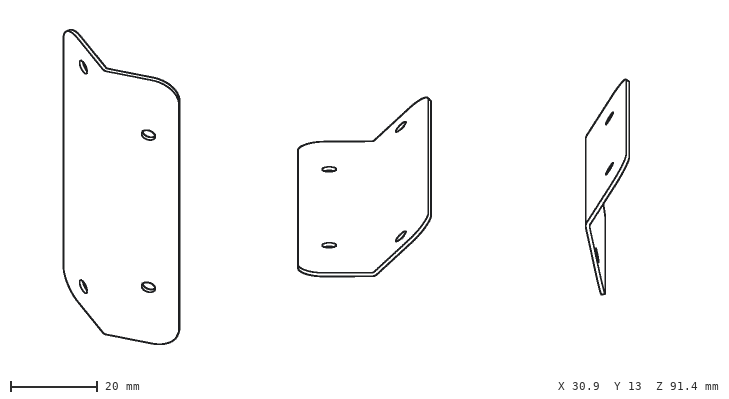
import cadquery as cq
import math

overall_width = 30.94
overall_depth = 13.01
height = 91.44

thickness = 0.914
outer_bend_radius = 1.65
inner_bend_radius = outer_bend_radius - thickness
bend_angle = 44.0
bend_cos = math.cos(math.radians(bend_angle))
bend_sin = math.sin(math.radians(bend_angle))

flange_length = (overall_depth - outer_bend_radius * (1 - bend_cos) - thickness * bend_cos) / bend_sin
base_length = overall_width - outer_bend_radius * bend_sin - flange_length * bend_cos

corner_radius = 6.35
hole_diameter = 3.25
base_hole_edge_distance = 8.89
base_hole_spacing = 76.2
flange_hole_edge_distance = 7.22
flange_hole_spacing = 52.83

base_plane = cq.Plane(origin=(0, 0, 0), xDir=(1, 0, 0), normal=(0, -1, 0))
flange_start = (
    base_length + outer_bend_radius * bend_sin,
    outer_bend_radius * (1 - bend_cos),
    0,
)
flange_plane = cq.Plane(
    origin=flange_start,
    xDir=(bend_cos, bend_sin, 0),
    normal=(bend_sin, -bend_cos, 0),
)


def rounded_leaf(plane, length, free_side):
    """Flat sheet with its two free corners rounded; the outer face lies on the plane."""
    return (
        cq.Workplane(plane)
        .center(length / 2, 0)
        .rect(length, height)
        .extrude(-thickness)
        .edges(cq.selectors.ParallelDirSelector(plane.zDir))
        .edges(cq.selectors.DirectionMinMaxSelector(plane.xDir * free_side, True))
        .fillet(corner_radius)
    )


def bend_point(radius, angle):
    """Point in XY on the bend, at an angle in degrees from the start of the bend."""
    turn = math.radians(angle)
    return (
        base_length + radius * math.sin(turn),
        outer_bend_radius - radius * math.cos(turn),
    )


def bend():
    """Curved strip that joins the base to the flange."""
    return (
        cq.Workplane("XY", origin=(0, 0, -height / 2))
        .moveTo(*bend_point(outer_bend_radius, 0))
        .threePointArc(
            bend_point(outer_bend_radius, bend_angle / 2),
            bend_point(outer_bend_radius, bend_angle),
        )
        .lineTo(*bend_point(inner_bend_radius, bend_angle))
        .threePointArc(
            bend_point(inner_bend_radius, bend_angle / 2),
            bend_point(inner_bend_radius, 0),
        )
        .close()
        .extrude(height)
    )


def hole_pair(plane, position, spacing):
    """Cutters for two through holes, one above the other, square to the sheet."""
    return (
        cq.Workplane(plane)
        .pushPoints([(position, spacing / 2), (position, -spacing / 2)])
        .circle(hole_diameter / 2)
        .extrude(-thickness)
    )


base = rounded_leaf(base_plane, base_length, -1)
flange = rounded_leaf(flange_plane, flange_length, 1)
base_holes = hole_pair(base_plane, base_hole_edge_distance, base_hole_spacing)
flange_holes = hole_pair(
    flange_plane,
    flange_length - flange_hole_edge_distance,
    flange_hole_spacing,
)

result = base.union(bend()).union(flange).cut(base_holes).cut(flange_holes)